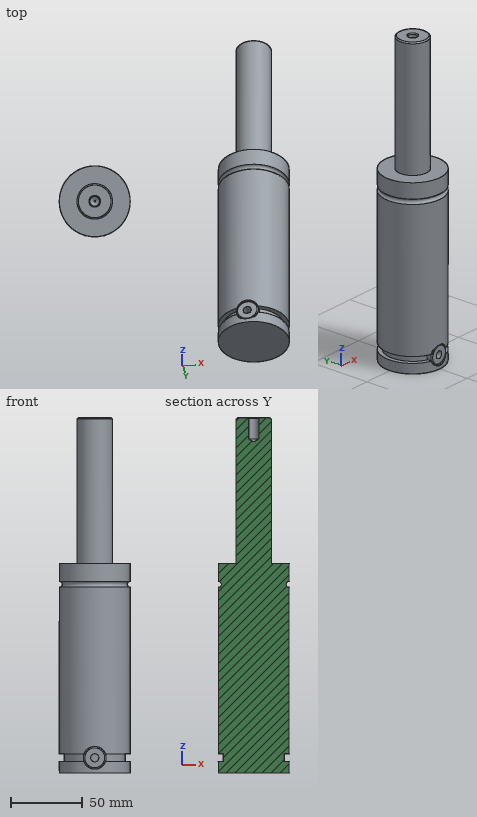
import cadquery as cq
import math

body_diameter = 50
body_height = 147.5
clamp_groove_bottom = 8.2
clamp_groove_top = 13.5
clamp_groove_depth = 3.5
neck_groove_bottom = 130.8
neck_groove_top = 134.8
neck_groove_depth = 2.0

total_height = 250
rod_diameter = 25
rod_chamfer = 1.0
rod_hole_diameter = 6.8
rod_hole_depth = 15
rod_hole_countersink = 0.8
drill_tip_angle = 118

plug_diameter = 16.0
plug_face_diameter = 14.0
plug_chamfer_width = (plug_diameter - plug_face_diameter) / 2
plug_chamfer_depth = 0.8
plug_face_offset = 24.2
plug_height = 10.8
plug_root_offset = 15
plug_hole_diameter = 5.8
plug_hole_depth = 7.5

body_radius = body_diameter / 2
clamp_groove_radius = body_radius - clamp_groove_depth
neck_groove_radius = body_radius - neck_groove_depth
neck_groove_middle = (neck_groove_bottom + neck_groove_top) / 2


def make_body():
    """Revolve the body with its square clamp groove and round neck groove."""
    return (
        cq.Workplane("XZ")
        .lineTo(body_radius, 0)
        .lineTo(body_radius, clamp_groove_bottom)
        .lineTo(clamp_groove_radius, clamp_groove_bottom)
        .lineTo(clamp_groove_radius, clamp_groove_top)
        .lineTo(body_radius, clamp_groove_top)
        .lineTo(body_radius, neck_groove_bottom)
        .threePointArc((neck_groove_radius, neck_groove_middle), (body_radius, neck_groove_top))
        .lineTo(body_radius, body_height)
        .lineTo(0, body_height)
        .close()
        .revolve(360, (0, 0), (0, 1))
    )


def make_rod():
    """Chamfered rod with a countersunk, drilled hole in its end."""
    countersink_diameter = rod_hole_diameter + 2 * rod_hole_countersink
    rod = (
        cq.Workplane("XY")
        .workplane(offset=body_height)
        .circle(rod_diameter / 2)
        .extrude(total_height - body_height)
        .faces(">Z")
        .chamfer(rod_chamfer)
    )
    hole_bottom = total_height - rod_hole_depth
    hole = cq.Workplane("XY").workplane(offset=hole_bottom).circle(rod_hole_diameter / 2)
    hole = hole.extrude(rod_hole_depth)
    tip = cq.Workplane("XY").workplane(offset=hole_bottom).circle(rod_hole_diameter / 2)
    tip = tip.extrude(-rod_hole_diameter / 4, taper=drill_tip_angle / 2)
    countersink = cq.Workplane("XY").workplane(offset=total_height).circle(countersink_diameter / 2)
    countersink = countersink.extrude(-rod_hole_countersink, taper=45)
    return rod.cut(hole).cut(tip).cut(countersink)


def plug_cylinder(diameter, start, end):
    """Cylinder on the plug axis between two distances from the body axis."""
    plane = cq.Workplane("XZ", origin=(0, -start, plug_height))
    return plane.circle(diameter / 2).extrude(end - start)


def add_plug(body):
    """Set the plug slightly below the body surface, bridging the clamp groove."""
    pocket = plug_cylinder(plug_diameter, plug_root_offset, body_radius)
    shoulder_offset = plug_face_offset - plug_chamfer_depth
    plug = plug_cylinder(plug_diameter, plug_root_offset, shoulder_offset)
    chamfer_angle = math.degrees(math.atan2(plug_chamfer_width, plug_chamfer_depth))
    rim = cq.Workplane("XZ", origin=(0, -shoulder_offset, plug_height)).circle(plug_diameter / 2)
    plug = plug.union(rim.extrude(plug_chamfer_depth, taper=chamfer_angle))
    hole = plug_cylinder(plug_hole_diameter, plug_face_offset - plug_hole_depth, plug_face_offset)
    return body.cut(pocket).union(plug).cut(hole)


result = add_plug(make_body()).union(make_rod())